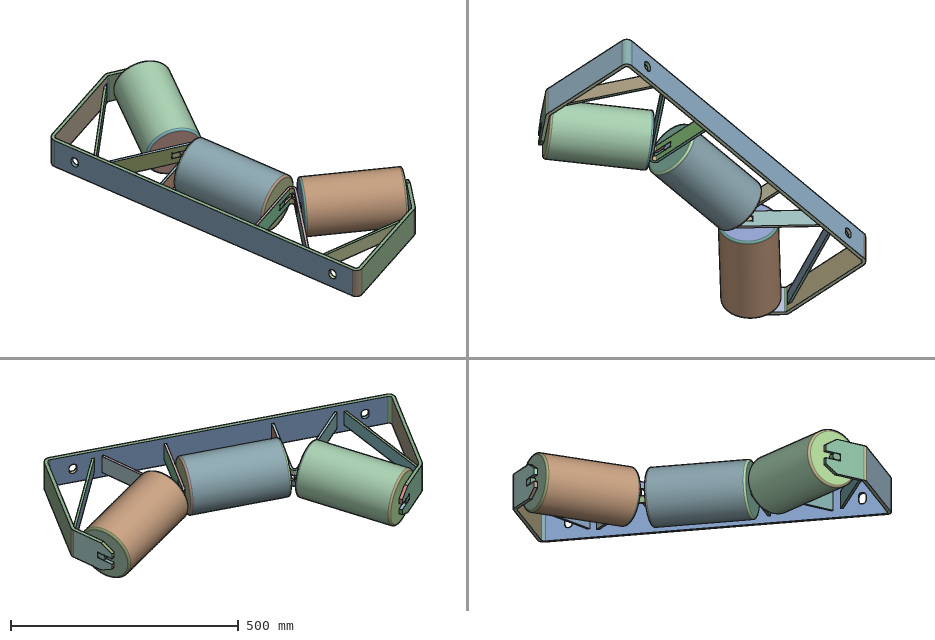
import cadquery as cq
import math


ROLLER_DIAMETER = 133.0
ROLLER_LENGTH = 230.0
ROLLER_EDGE_RADIUS = 5.0
AXLE_DIAMETER = 20.0
AXLE_FLAT_WIDTH = 14.0
END_GAP = 5.0

TROUGH_ANGLE = 40.0
MIDDLE_ROLLER_Y = 126.0
SIDE_ROLLER_X = 251.0
SIDE_ROLLER_Y = 217.0

FRAME_LENGTH = 800.0
STRIP_WIDTH = 80.0
STRIP_THICKNESS = 8.0
STRIP_BEND_RADIUS = 15.0
ARM_TIP_Y = 321.0
TIP_CHAMFER_LENGTH = 29.0
TIP_CHAMFER_WIDTH = 18.0

BRACKET_WIDTH = 48.0
STRUT_WIDTH = 40.0
INNER_THICKNESS = 6.0
BRACKET_BEND_RADIUS = 11.0
FOOT_OVERLAP = 1.0
STRUT_FOOT_X = 284.0
STRUT_TOP_Y = 230.0

AXLE_SLOT_WIDTH = 16.0
MOUNT_SLOT_X = 333.0
MOUNT_SLOT_WIDTH = 18.0
MOUNT_SLOT_LENGTH = 26.0

ANGLE = math.radians(TROUGH_ANGLE)
COS = math.cos(ANGLE)
SIN = math.sin(ANGLE)
HALF_LENGTH = FRAME_LENGTH / 2
CARRIER_OFFSET = ROLLER_LENGTH / 2 + END_GAP
BRACKET_REACH = CARRIER_OFFSET + INNER_THICKNESS
STRIP_REACH = CARRIER_OFFSET + STRIP_THICKNESS
SIDE_AXIS_OFFSET = SIDE_ROLLER_X * COS + SIDE_ROLLER_Y * SIN


def polar(center, radius, angle):
    """Point on a circle, angle in radians."""
    return (center[0] + radius * math.cos(angle), center[1] + radius * math.sin(angle))


def down_slope(point, distance):
    """Move a point along a tilted arm or leg, square to the side roller axis, towards -Y."""
    return (point[0] + distance * SIN, point[1] - distance * COS)


def tilted_bend_y(bend_x, face_offset, radius):
    """Y of a bend centre whose arc meets the face lying face_offset along the side roller axis."""
    return (face_offset - radius - bend_x * COS) / SIN


def place_on_side(shape):
    """Move a shape from the origin to the right-hand side roller."""
    return shape.rotate((0, 0, 0), (0, 0, 1), TROUGH_ANGLE).translate((SIDE_ROLLER_X, SIDE_ROLLER_Y, 0))


def make_strip_half():
    """Right half of the outer strip: half the base, one side, one tilted arm."""
    outer = STRIP_BEND_RADIUS
    inner = outer - STRIP_THICKNESS
    bend_x = HALF_LENGTH - outer
    arm_offset = SIDE_AXIS_OFFSET + STRIP_REACH
    lower = (bend_x, outer)
    upper = (bend_x, tilted_bend_y(bend_x, arm_offset, outer))
    arm_outer = polar(upper, outer, ANGLE)
    arm_inner = polar(upper, inner, ANGLE)
    arm_length = (ARM_TIP_Y - arm_outer[1]) / COS
    tip_outer = down_slope(arm_outer, -arm_length)
    tip_inner = down_slope(arm_inner, -arm_length)
    corner = -math.pi / 4
    strip = (
        cq.Workplane("XY")
        .moveTo(0, 0)
        .lineTo(bend_x, 0)
        .threePointArc(polar(lower, outer, corner), (HALF_LENGTH, outer))
        .lineTo(HALF_LENGTH, upper[1])
        .threePointArc(polar(upper, outer, ANGLE / 2), arm_outer)
        .lineTo(*tip_outer)
        .lineTo(*tip_inner)
        .lineTo(*arm_inner)
        .threePointArc(polar(upper, inner, ANGLE / 2), (bend_x + inner, upper[1]))
        .lineTo(bend_x + inner, outer)
        .threePointArc(polar(lower, inner, corner), (bend_x, STRIP_THICKNESS))
        .lineTo(0, STRIP_THICKNESS)
        .close()
        .extrude(STRIP_WIDTH / 2, both=True)
    )
    return strip.cut(make_tip_chamfers(tip_outer))


def make_tip_chamfers(tip):
    """Two wedges that cut the corners off the arm tip."""
    tip_height = (tip[1] - SIDE_ROLLER_Y) * COS - (tip[0] - SIDE_ROLLER_X) * SIN
    edge = STRIP_WIDTH / 2
    wedge = (
        cq.Workplane("YZ")
        .polyline([
            (tip_height, edge),
            (tip_height - TIP_CHAMFER_LENGTH, edge),
            (tip_height, edge - TIP_CHAMFER_WIDTH),
        ])
        .close()
        .extrude(ROLLER_LENGTH)
    )
    return place_on_side(wedge.union(wedge.mirror("XY")))


def make_bracket():
    """Right-hand bracket: an upright leg, a round bend and a tilted leg down to the base."""
    outer = BRACKET_BEND_RADIUS
    inner = outer - INNER_THICKNESS
    bend_x = CARRIER_OFFSET + outer
    bend = (bend_x, tilted_bend_y(bend_x, SIDE_AXIS_OFFSET - CARRIER_OFFSET, outer))
    leg_outer = polar(bend, outer, ANGLE)
    leg_inner = polar(bend, inner, ANGLE)
    leg_length = (leg_inner[1] - STRIP_THICKNESS + FOOT_OVERLAP) / COS
    bend_middle = (ANGLE + math.pi) / 2
    return (
        cq.Workplane("XY")
        .moveTo(CARRIER_OFFSET, STRIP_THICKNESS)
        .lineTo(CARRIER_OFFSET, bend[1])
        .threePointArc(polar(bend, outer, bend_middle), leg_outer)
        .lineTo(*down_slope(leg_outer, leg_length))
        .lineTo(*down_slope(leg_inner, leg_length))
        .lineTo(*leg_inner)
        .threePointArc(polar(bend, inner, bend_middle), (BRACKET_REACH, bend[1]))
        .lineTo(BRACKET_REACH, STRIP_THICKNESS)
        .close()
        .extrude(BRACKET_WIDTH / 2, both=True)
    )


def make_strut():
    """Right-hand diagonal strut from the base to the upright side."""
    side_x = HALF_LENGTH - STRIP_THICKNESS
    run = side_x - STRUT_FOOT_X
    rise = STRUT_TOP_Y - STRIP_THICKNESS
    length = math.hypot(run, rise)
    return (
        cq.Workplane("XY")
        .polyline([
            (STRUT_FOOT_X, STRIP_THICKNESS),
            (side_x, STRUT_TOP_Y),
            (side_x, STRUT_TOP_Y - INNER_THICKNESS * length / run),
            (STRUT_FOOT_X + INNER_THICKNESS * length / rise, STRIP_THICKNESS),
        ])
        .close()
        .extrude(STRUT_WIDTH / 2, both=True)
    )


def make_axle_slot():
    """Cutter along a roller axis at the origin: an open slot whose floor lies under the axle."""
    depth = ROLLER_DIAMETER
    middle_y = (depth - AXLE_DIAMETER) / 2
    length = 2 * STRIP_REACH
    return cq.Workplane("XY").box(length, depth, AXLE_SLOT_WIDTH).translate((0, middle_y, 0))


def make_mount_slots():
    """Two obround mounting slots through the base."""
    return (
        cq.Workplane("XZ")
        .pushPoints([(-MOUNT_SLOT_X, 0), (MOUNT_SLOT_X, 0)])
        .slot2D(MOUNT_SLOT_LENGTH, MOUNT_SLOT_WIDTH, 90)
        .extrude(STRIP_THICKNESS, both=True)
    )


def make_frame():
    """Strip, brackets and struts welded into one body."""
    middle_slots = make_axle_slot().translate((0, MIDDLE_ROLLER_Y, 0))
    half = (
        make_strip_half()
        .union(make_bracket().cut(middle_slots))
        .cut(place_on_side(make_axle_slot()))
        .union(make_strut())
    )
    return half.union(half.mirror("YZ")).cut(make_mount_slots())


def make_roller(side):
    """Roller at the origin for one side (-1, 0, 1); its flatted axle ends flush with the strip or bracket."""
    shell = (
        cq.Workplane("YZ", origin=(-ROLLER_LENGTH / 2, 0, 0))
        .circle(ROLLER_DIAMETER / 2)
        .extrude(ROLLER_LENGTH)
        .faces("<X or >X")
        .edges()
        .fillet(ROLLER_EDGE_RADIUS)
    )
    left_reach = STRIP_REACH if side < 0 else BRACKET_REACH
    right_reach = STRIP_REACH if side > 0 else BRACKET_REACH
    axle_length = left_reach + right_reach
    axle = cq.Workplane("YZ", origin=(-left_reach, 0, 0)).circle(AXLE_DIAMETER / 2).extrude(axle_length)
    flats = cq.Workplane("XY").box(2 * STRIP_REACH, AXLE_DIAMETER, AXLE_FLAT_WIDTH)
    return shell.union(axle.intersect(flats))


frame = make_frame()

rollers = []
for side in (-1, 0, 1):
    roller = make_roller(side).rotate((0, 0, 0), (0, 0, 1), side * TROUGH_ANGLE)
    roller_y = SIDE_ROLLER_Y if side else MIDDLE_ROLLER_Y
    rollers.append(roller.translate((side * SIDE_ROLLER_X, roller_y, 0)))

result = cq.Compound.makeCompound([frame.val(), *[roller.val() for roller in rollers]])